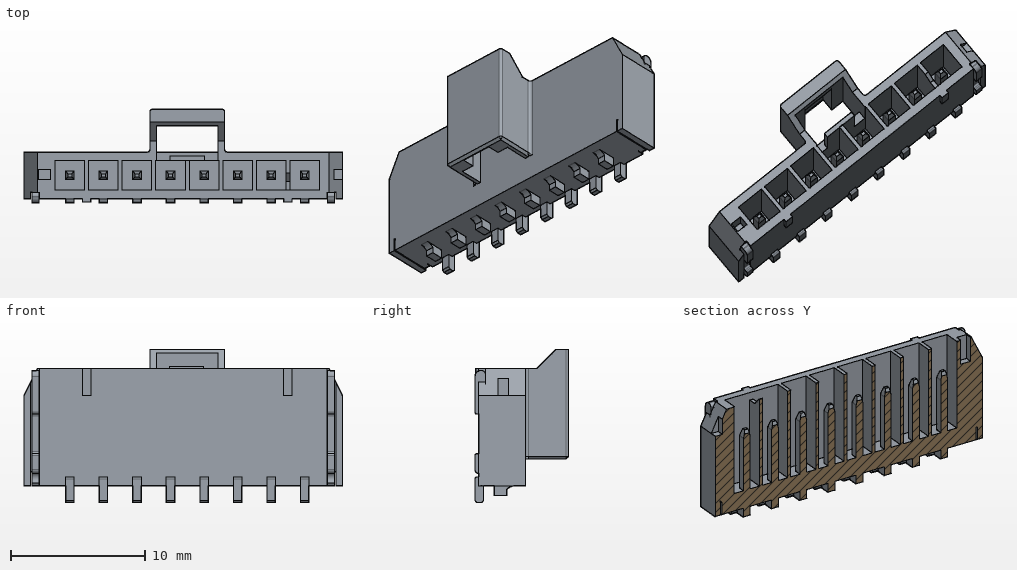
import cadquery as cq

overall_height = 11.43

body_length = 23.74
body_depth = 3.5
body_height = 8.75
end_taper_run = 1.0
end_taper_drop = 2.0

cell_count = 8
pitch = 2.5
row_center = 0.3
cell_size = 2.2
cell_center_y = 1.76
cell_floor = 1.5
cell_xs = [row_center + (i - (cell_count - 1) / 2) * pitch for i in range(cell_count)]
cell_front = cell_center_y - cell_size / 2
cell_back = cell_center_y + cell_size / 2

pin_width = 0.64
post_top = 6.5
post_tip_width = 0.3
post_tip_depth = 0.24
post_tip_height = 0.6
lead_front = -0.29
lead_back = 0.36
lead_top = 0.67
lead_bottom = -1.25
lead_round = 0.15
lead_bevel = 0.15

stub_front = 1.14
stub_back = 2.1
stub_depth = 0.73
stub_shoulder_depth = 0.25
stub_shoulder_end = 2.67
stub_shoulder_mid = (2.35, -0.08)

bridge_width = 5.58
bridge_side = 0.5
bridge_back = 6.7
bridge_inner_back = 5.45
bridge_bottom = 2.0
bridge_top = lead_bottom + overall_height
bridge_slope = bridge_top - body_height
bridge_top_front = 5.74
bridge_edge_round = 0.2
bridge_bottom_bevel = 0.2
bridge_root_round = 0.22
window_width = bridge_width - 2 * bridge_side
window_sill = 5.0

recess_width = 2.55
recess_depth = 1.0
recess_top = 8.9
recess_center = 0.25

bar_width = 2.6
bar_thickness = 0.36
bar_top = 8.58

rib_width = 0.62
rib_height = 0.24
rib_bottom = 6.72
rib_spacing = (cell_count - 2) * pitch
key_notch_back = 1.94
key_notch_run = 0.62

pocket_width = 0.86
pocket_front = 1.45
pocket_back = 2.2
pocket_depth = 2.0
left_pocket_x = -10.77
right_pocket_x = 11.24

end_wall = 0.5
slot_width = 0.65
slot_depth = 0.5
slot_through_height = 1.05
clip_gap = 0.09
clip_width = 0.53
clip_top = 8.6
clip_leg_bottom = 5.35
clip_foot_top = 2.4
clip_foot_bottom = 0.92
clip_recess = 0.12
clip_hook_front_round = 0.45
clip_hook_back_round = 0.3
clip_bend_round = 0.15
clip_foot_round = 0.3
clip_tail_groove = (0.34, 0.56)
clip_tail_top = 0.2
clip_tail_round = 0.18


def box(x0, x1, y0, y1, z0, z1):
    """Box between opposite corner coordinates."""
    return cq.Workplane("XY").box(x1 - x0, y1 - y0, z1 - z0, centered=False).translate((x0, y0, z0))


def centered_box(x, width, y0, y1, z0, z1):
    """Box centred on x."""
    return box(x - width / 2, x + width / 2, y0, y1, z0, z1)


def side_plane(x_start):
    """Sketch plane with local axes (Y, Z), extruding towards +X."""
    return cq.Workplane("YZ", origin=(x_start, 0, 0))


def make_housing():
    half = body_length / 2
    shoulder = body_height - end_taper_drop
    outline = [
        (-half, 0),
        (half, 0),
        (half, shoulder),
        (half - end_taper_run, body_height),
        (-half + end_taper_run, body_height),
        (-half, shoulder),
    ]
    return cq.Workplane("XZ").polyline(outline).close().extrude(-body_depth)


def make_bridge():
    half = bridge_width / 2
    slope_foot = bridge_top_front - bridge_slope
    outline = [
        (cell_back, bridge_bottom),
        (bridge_back, bridge_bottom),
        (bridge_back, bridge_top),
        (bridge_top_front, bridge_top),
        (slope_foot, body_height),
        (cell_back, body_height),
    ]
    bridge = side_plane(row_center - half).polyline(outline).close().extrude(bridge_width)
    bridge = bridge.edges("|Z and >Y").fillet(bridge_edge_round)
    return bridge.faces("<Z").edges("not(<Y)").chamfer(bridge_bottom_bevel)


def make_bridge_root(side):
    """Concave fillet where one side of the bridge meets the housing."""
    x = row_center + side * bridge_width / 2
    r = bridge_root_round
    height = body_height - bridge_bottom
    block = centered_box(x + side * r / 2, r, body_depth, body_depth + r, bridge_bottom, body_height)
    scoop = cq.Workplane("XY", origin=(x + side * r, body_depth + r, bridge_bottom)).circle(r).extrude(height)
    return block.cut(scoop)


def cut_bridge_window(part):
    part = part.cut(centered_box(row_center, window_width, body_depth, bridge_inner_back, 0, bridge_top))
    part = part.cut(centered_box(row_center, window_width, cell_back, body_depth, window_sill, bridge_top))
    recess_back = bridge_inner_back + recess_depth
    return part.cut(centered_box(recess_center, recess_width, bridge_inner_back, recess_back, 0, recess_top))


def make_latch_bar():
    return centered_box(row_center, bar_width, cell_back, cell_back + bar_thickness, window_sill, bar_top)


def make_post(x):
    """Square post with a pyramid tip, standing on the cell floor."""
    post = cq.Workplane("XY", origin=(x, cell_center_y, cell_floor))
    post = post.rect(pin_width, pin_width).extrude(post_top - post_tip_height - cell_floor)
    tip = post.faces(">Z").workplane().rect(pin_width, pin_width)
    return tip.workplane(offset=post_tip_height).rect(post_tip_width, post_tip_depth).loft(combine=True)


def make_lead(x):
    """Solder lead wrapping from the underside onto the front face."""
    outline = [
        (lead_front, lead_bottom),
        (lead_back, lead_bottom),
        (lead_back, 0),
        (0, 0),
        (0, lead_top),
        (lead_front, lead_top),
    ]
    lead = side_plane(x - pin_width / 2).polyline(outline).close().extrude(pin_width)
    lead = lead.edges("|X and <Z").chamfer(lead_bevel)
    return lead.edges("|X and >Z and <Y").fillet(lead_round)


def make_stub(x):
    """Stub below the underside with a curved shoulder towards the back."""
    stub = side_plane(x - pin_width / 2).moveTo(stub_front, 0)
    stub = stub.lineTo(stub_front, -stub_depth).lineTo(stub_back, -stub_depth)
    stub = stub.lineTo(stub_back, -stub_shoulder_depth)
    return stub.threePointArc(stub_shoulder_mid, (stub_shoulder_end, 0)).close().extrude(pin_width)


def make_key_notch():
    """Sloped notch in the wall between the last two cells."""
    wall = pitch - cell_size
    wall_x = cell_xs[-1] - pitch / 2
    bottom = body_height - key_notch_run
    outline = [
        (key_notch_back, body_height),
        (key_notch_back - key_notch_run, bottom),
        (cell_front, bottom),
        (cell_front, body_height),
    ]
    return side_plane(wall_x - wall / 2).polyline(outline).close().extrude(wall)


def make_slot():
    """Clip slot at the left end; its gap beside the clip runs through to the back near the underside."""
    x0 = -body_length / 2 + end_wall
    x1 = x0 + slot_width
    slot = box(x0, x1, 0, slot_depth, 0, body_height)
    return slot.union(box(x0, x0 + clip_gap, 0, body_depth, 0, slot_through_height))


def clip_edges_between(z_low, z_high):
    """Selector for the clip edges whose centres lie from z_low to z_high, front face to recess."""
    margin = 0.01
    return cq.selectors.BoxSelector(
        (-body_length, lead_front - margin, z_low - margin),
        (body_length, clip_recess + margin, z_high + margin),
    )


def make_clip():
    """Bent clip at the left end: hook, leg, recessed strip, foot and grooved tail."""
    outline = [
        (slot_depth, clip_top),
        (lead_front, clip_top),
        (lead_front, clip_leg_bottom),
        (clip_recess, clip_leg_bottom),
        (clip_recess, clip_foot_top),
        (lead_front, clip_foot_top),
        (lead_front, clip_foot_bottom),
        (clip_recess, clip_foot_bottom),
    ]
    profile = side_plane(-body_length / 2 + end_wall + clip_gap).moveTo(slot_depth, 0)
    for point in outline:
        profile = profile.lineTo(*point)
    profile = profile.threePointArc(clip_tail_groove, (clip_recess, clip_tail_top)).lineTo(clip_recess, 0)
    clip = profile.close().extrude(clip_width)

    clip = clip.faces(">Z").edges("<Y").fillet(clip_hook_front_round)
    clip = clip.faces(">Z").edges(">Y").fillet(clip_hook_back_round)
    clip = clip.faces("<Z").edges("<Y").fillet(clip_tail_round)
    clip = clip.edges("|X").edges(clip_edges_between(clip_foot_top, clip_leg_bottom)).fillet(clip_bend_round)
    foot_edges = clip.edges("|X").edges(clip_edges_between(clip_foot_bottom, clip_foot_bottom))
    return foot_edges.edges("<Y").fillet(clip_foot_round)


def build():
    part = make_housing().union(make_bridge())
    for side in (-1, 1):
        part = part.union(make_bridge_root(side))
        rib_x = row_center + side * rib_spacing / 2
        part = part.union(centered_box(rib_x, rib_width, -rib_height, 0, rib_bottom, body_height))
    part = cut_bridge_window(part)

    for x in cell_xs:
        part = part.cut(centered_box(x, cell_size, cell_front, cell_back, cell_floor, body_height))
    part = part.cut(make_key_notch())
    pocket_floor = body_height - pocket_depth
    for x in (left_pocket_x, right_pocket_x):
        part = part.cut(box(x, x + pocket_width, pocket_front, pocket_back, pocket_floor, body_height))
    part = part.union(make_latch_bar())

    for x in cell_xs:
        part = part.union(make_post(x)).union(make_lead(x)).union(make_stub(x))

    slot = make_slot()
    clip = make_clip()
    part = part.cut(slot).cut(slot.mirror("YZ"))
    return part.union(clip).union(clip.mirror("YZ"))


result = build()